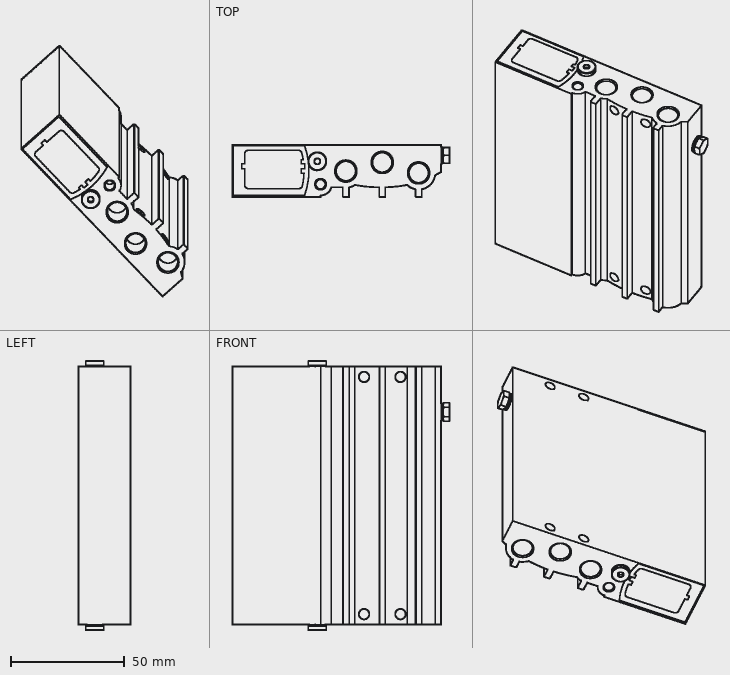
import cadquery as cq
import math

TOTAL_HEIGHT = 118.5
HOUSING_HEIGHT = 113.5
HOUSING_LENGTH = 91.7
HOUSING_DEPTH = 23.0
HALF_HEIGHT = HOUSING_HEIGHT / 2

PORT_PITCH = 16.0
PORT_1 = (49.9, 11.5)
PORT_2 = (PORT_1[0] + PORT_PITCH, 15.3)
PORT_3 = (PORT_2[0] + PORT_PITCH, 10.7)
PORT_DIAMETER = 8.5
PORT_CHAMFER = 0.6
PORT_DEPTH = 14.2
PORT_WALL_RADIUS = 7.3

PILOT = (38.7, 5.7)
PILOT_DIAMETER = 4.1
PILOT_CHAMFER = 0.41
PILOT_DEPTH = 9.5
PILOT_WALL_RADIUS = 5.0

RIB_WIDTH = 2.8
RIB_CHAMFER = 0.4
FLOOR_Y = 4.3
FLOOR_END_Y = 5.3
SHOULDER_Y = 11.0
SHOULDER_RISE = 1.4

MOUNT_DIAMETER = 4.5
MOUNT_END_DISTANCE = 4.6

RECESS_DEPTH = 0.06
RECESS_LEFT = 0.5
RECESS_BOTTOM = 0.8
RECESS_TOP = 22.6
RECESS_RIGHT = 31.8
RECESS_BULGE = 1.9
PLATE_LEFT = 5.5
PLATE_BOTTOM = 3.8
PLATE_TOP = 20.6
PLATE_GAP = 2.1
PLATE_CORNER_RADIUS = 1.5
NOTCH_LEFT = 30.2
NOTCH_BOTTOM = 10.5
NOTCH_TOP = 16.4
TAB_BOTTOM = 12.6
TAB_TOP = 14.7
TAB_LENGTH = 1.3
RIGHT_TAB_END = 31.9

SCREW_CENTRE = (37.3, 15.8)
SCREW_DIAMETER = 8.0
SCREW_HEIGHT = (TOTAL_HEIGHT - HOUSING_HEIGHT) / 2
SCREW_TOP_CHAMFER = 0.2
SCREW_BOTTOM_CHAMFER = 0.6
SCREW_SOCKET_DIAMETER = 2.5
SCREW_SOCKET_CHAMFER = 0.1
SCREW_SOCKET_DEPTH = 1.5

TOTAL_LENGTH = 95.5
PLUG_Y = 18.4
PLUG_END_DISTANCE = 20.0
FLANGE_DIAMETER = 7.6
FLANGE_THICKNESS = 0.4
NECK_DIAMETER = 6.9
NECK_LENGTH = 0.7
HEX_ACROSS_FLATS = 7.1
HEX_CHAMFER = 0.2


def below(centre, radius, x):
    """Point at x on the lower half of a circle."""
    return (x, centre[1] - math.sqrt(radius**2 - (x - centre[0]) ** 2))


def right_of(centre, radius, y):
    """Point at height y on the right half of a circle."""
    return (centre[0] + math.sqrt(radius**2 - (y - centre[1]) ** 2), y)


def housing_blank():
    half_rib = RIB_WIDTH / 2
    wall = PORT_WALL_RADIUS
    pilot_start = below(PILOT, PILOT_WALL_RADIUS, PILOT[0])
    pilot_end = right_of(PILOT, PILOT_WALL_RADIUS, FLOOR_Y)
    arch_start_x = PORT_1[0] + math.sqrt(wall**2 - (PORT_1[1] - FLOOR_END_Y) ** 2)
    arch_end_x = PORT_3[0] - math.sqrt(wall**2 - (PORT_3[1] - FLOOR_END_Y) ** 2)
    arch_half = (arch_end_x - arch_start_x) / 2
    arch_sag = FLOOR_END_Y - FLOOR_Y
    arch_radius = (arch_half**2 + arch_sag**2) / (2 * arch_sag)
    arch_centre = ((arch_start_x + arch_end_x) / 2, FLOOR_Y + arch_radius)
    arch_left_middle = below(arch_centre, arch_radius, PORT_1[0] + PORT_PITCH / 2)
    arch_right_middle = below(arch_centre, arch_radius, PORT_2[0] + PORT_PITCH / 2)
    rib_2_left = below(arch_centre, arch_radius, PORT_2[0] - half_rib)
    rib_2_right = below(arch_centre, arch_radius, PORT_2[0] + half_rib)
    shoulder = right_of(PORT_3, wall, SHOULDER_Y - SHOULDER_RISE)

    return (
        cq.Workplane("XY", origin=(0, 0, -HALF_HEIGHT))
        .lineTo(PILOT[0], 0)
        .lineTo(*pilot_start)
        .threePointArc(below(PILOT, PILOT_WALL_RADIUS, PILOT[0] + PILOT_WALL_RADIUS / 2), pilot_end)
        .lineTo(PORT_1[0] - half_rib, FLOOR_Y)
        .lineTo(PORT_1[0] - half_rib, RIB_CHAMFER)
        .lineTo(PORT_1[0] - half_rib + RIB_CHAMFER, 0)
        .lineTo(PORT_1[0] + half_rib, 0)
        .lineTo(*below(PORT_1, wall, PORT_1[0] + half_rib))
        .threePointArc(below(PORT_1, wall, PORT_1[0] + wall / 2), (arch_start_x, FLOOR_END_Y))
        .threePointArc(arch_left_middle, rib_2_left)
        .lineTo(PORT_2[0] - half_rib, RIB_CHAMFER)
        .lineTo(PORT_2[0] - half_rib + RIB_CHAMFER, 0)
        .lineTo(PORT_2[0] + half_rib, 0)
        .lineTo(*rib_2_right)
        .threePointArc(arch_right_middle, (arch_end_x, FLOOR_END_Y))
        .threePointArc(below(PORT_3, wall, PORT_3[0] - wall / 2), below(PORT_3, wall, PORT_3[0] - half_rib))
        .lineTo(PORT_3[0] - half_rib, RIB_CHAMFER)
        .lineTo(PORT_3[0] - half_rib + RIB_CHAMFER, 0)
        .lineTo(PORT_3[0] + half_rib, 0)
        .lineTo(*below(PORT_3, wall, PORT_3[0] + half_rib))
        .threePointArc(below(PORT_3, wall, PORT_3[0] + wall / 2), shoulder)
        .lineTo(HOUSING_LENGTH, SHOULDER_Y)
        .lineTo(HOUSING_LENGTH, HOUSING_DEPTH)
        .lineTo(0, HOUSING_DEPTH)
        .close()
        .extrude(HOUSING_HEIGHT)
    )


def blind_hole(centre, top, diameter, depth, chamfer):
    """Cutter for a chamfered blind hole that goes down from z = top."""
    radius = diameter / 2
    return (
        cq.Workplane("XZ", origin=(*centre, top))
        .lineTo(radius + chamfer, 0)
        .lineTo(radius, -chamfer)
        .lineTo(radius, -depth)
        .lineTo(0, -depth)
        .close()
        .revolve(360, (0, 0), (0, 1))
    )


def end_recess():
    """Cutter for the recess in the upper end face, leaving the label plate."""
    half_chord = (RECESS_TOP - RECESS_BOTTOM) / 2
    bulge_radius = (half_chord**2 + RECESS_BULGE**2) / (2 * RECESS_BULGE)
    middle = (RECESS_TOP + RECESS_BOTTOM) / 2
    centre = (RECESS_RIGHT + RECESS_BULGE - bulge_radius, middle)
    plate_radius = bulge_radius - PLATE_GAP
    base = cq.Workplane("XY", origin=(0, 0, HALF_HEIGHT - RECESS_DEPTH))

    recess = (
        base.moveTo(RECESS_LEFT, RECESS_BOTTOM)
        .lineTo(RECESS_RIGHT, RECESS_BOTTOM)
        .threePointArc((RECESS_RIGHT + RECESS_BULGE, middle), (RECESS_RIGHT, RECESS_TOP))
        .lineTo(RECESS_LEFT, RECESS_TOP)
        .close()
        .extrude(RECESS_DEPTH)
    )
    plate = (
        base.moveTo(PLATE_LEFT, PLATE_BOTTOM)
        .lineTo(*right_of(centre, plate_radius, PLATE_BOTTOM))
        .threePointArc((centre[0] + plate_radius, middle), right_of(centre, plate_radius, PLATE_TOP))
        .lineTo(PLATE_LEFT, PLATE_TOP)
        .close()
        .extrude(RECESS_DEPTH)
        .edges("|Z")
        .fillet(PLATE_CORNER_RADIUS)
    )
    notch = box_between(base, NOTCH_LEFT, RECESS_RIGHT + RECESS_BULGE, NOTCH_BOTTOM, NOTCH_TOP)
    left_tab = box_between(base, PLATE_LEFT - TAB_LENGTH, PLATE_LEFT, TAB_BOTTOM, TAB_TOP)
    right_tab = box_between(base, NOTCH_LEFT, RIGHT_TAB_END, TAB_BOTTOM, TAB_TOP)
    return recess.cut(plate.cut(notch).union(left_tab).union(right_tab))


def box_between(base, left, right, bottom, top):
    """Block as thick as the recess is deep."""
    width = right - left
    height = top - bottom
    return (
        base.center(left + width / 2, bottom + height / 2)
        .rect(width, height)
        .extrude(RECESS_DEPTH)
    )


def mounting_holes():
    offset = HALF_HEIGHT - MOUNT_END_DISTANCE
    places = [
        (port[0] + PORT_PITCH / 2, z)
        for port in (PORT_1, PORT_2)
        for z in (-offset, offset)
    ]
    return (
        cq.Workplane("XZ")
        .pushPoints(places)
        .circle(MOUNT_DIAMETER / 2)
        .extrude(-HOUSING_DEPTH)
    )


def make_housing():
    end_cutters = [
        blind_hole(port, HALF_HEIGHT, PORT_DIAMETER, PORT_DEPTH, PORT_CHAMFER)
        for port in (PORT_1, PORT_2, PORT_3)
    ]
    end_cutters.append(blind_hole(PILOT, HALF_HEIGHT, PILOT_DIAMETER, PILOT_DEPTH, PILOT_CHAMFER))
    end_cutters.append(end_recess())
    housing = housing_blank().cut(mounting_holes())
    for cutter in end_cutters:
        housing = housing.cut(cutter).cut(cutter.mirror("XY"))
    return housing


def make_end_screw(end):
    """Round screw head on the upper (end = 1) or lower (end = -1) face."""
    socket = blind_hole(
        SCREW_CENTRE, TOTAL_HEIGHT / 2, SCREW_SOCKET_DIAMETER, SCREW_SOCKET_DEPTH, SCREW_SOCKET_CHAMFER
    )
    screw = (
        cq.Workplane("XY", origin=(*SCREW_CENTRE, HALF_HEIGHT))
        .circle(SCREW_DIAMETER / 2)
        .extrude(SCREW_HEIGHT)
        .faces(">Z")
        .chamfer(SCREW_TOP_CHAMFER)
        .faces("<Z")
        .chamfer(SCREW_BOTTOM_CHAMFER)
        .cut(socket)
    )
    return screw if end > 0 else screw.mirror("XY")


def make_side_plug():
    """Hexagonal plug head with a neck and a flange that rests on the right face."""
    neck_start = HOUSING_LENGTH + FLANGE_THICKNESS
    hex_start = neck_start + NECK_LENGTH
    plug_z = HALF_HEIGHT - PLUG_END_DISTANCE
    across_corners = HEX_ACROSS_FLATS / math.cos(math.pi / 6)

    def section(x):
        return cq.Workplane("YZ", origin=(x, PLUG_Y, plug_z))

    flange = section(HOUSING_LENGTH).circle(FLANGE_DIAMETER / 2).extrude(FLANGE_THICKNESS)
    neck = section(neck_start).circle(NECK_DIAMETER / 2).extrude(NECK_LENGTH)
    hex_length = TOTAL_LENGTH - hex_start
    hexagon = (
        section(hex_start)
        .transformed(rotate=(0, 0, 90))
        .polygon(6, across_corners)
        .extrude(hex_length)
    )
    turned_envelope = (
        section(hex_start)
        .circle(across_corners / 2)
        .extrude(hex_length)
        .faces("|X")
        .chamfer(HEX_CHAMFER)
    )
    return flange.union(neck).union(hexagon.intersect(turned_envelope))


housing = make_housing()
end_screws = [make_end_screw(end) for end in (1, -1)]
side_plug = make_side_plug()

result = cq.Compound.makeCompound(
    [housing.val(), *[screw.val() for screw in end_screws], side_plug.val()]
)